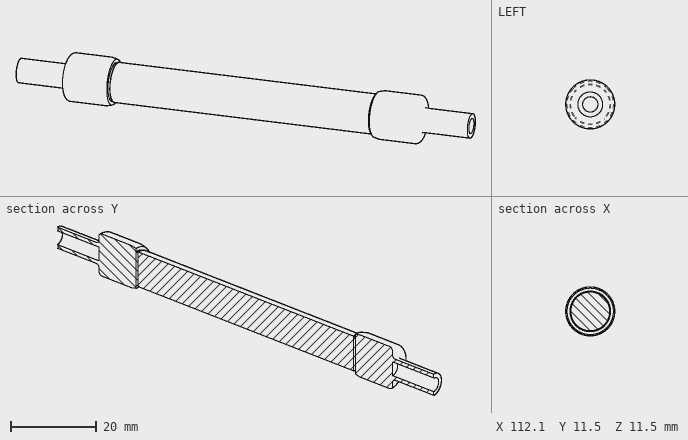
import cadquery as cq

total_length = 112.1

stem_diameter = 5.8
stem_length = 12.2
bore_diameter = 3.6
root_fillet = 0.7

cap_diameter = 11.5
cap_length = 11.2
nose_round = 1.1
taper_length = 1.3
taper_drop = 0.3

disc_diameter = 9.2
disc_thickness = 0.5

tube_diameter = 9.5

stem_end_x = -total_length / 2
cap_outer_x = stem_end_x + stem_length
cap_inner_x = cap_outer_x + cap_length
tube_end_x = cap_inner_x + disc_thickness


def make_cylinder(diameter, start_x, end_x):
    """Solid cylinder on the X axis from start_x to end_x."""
    return cq.Workplane("YZ", origin=(start_x, 0, 0)).circle(diameter / 2).extrude(end_x - start_x)


def make_end_cap():
    """Cap at the -X end, with its stem and the blind bore down the stem."""
    stem_radius = stem_diameter / 2
    cap_radius = cap_diameter / 2
    profile = (
        cq.Workplane("XZ")
        .moveTo(stem_end_x, 0)
        .lineTo(stem_end_x, stem_radius)
        .lineTo(cap_outer_x - root_fillet, stem_radius)
        .radiusArc((cap_outer_x, stem_radius + root_fillet), -root_fillet)
        .lineTo(cap_outer_x, cap_radius - nose_round)
        .radiusArc((cap_outer_x + nose_round, cap_radius), nose_round)
        .lineTo(cap_inner_x - taper_length, cap_radius)
        .lineTo(cap_inner_x, cap_radius - taper_drop)
        .lineTo(cap_inner_x, 0)
        .close()
    )
    turned = profile.revolve(360, (0, 0, 0), (1, 0, 0))
    bore = make_cylinder(bore_diameter, stem_end_x, cap_outer_x)
    return turned.cut(bore)


def make_disc():
    """Thin disc between the -X cap and the tube; its smaller diameter leaves a narrow groove."""
    return make_cylinder(disc_diameter, cap_inner_x, tube_end_x)


def make_tube():
    """Long central cylinder between the two discs."""
    return make_cylinder(tube_diameter, tube_end_x, -tube_end_x)


bodies = [make_tube().val()]

for make_end_body in (make_end_cap, make_disc):
    end_body = make_end_body()
    bodies.append(end_body.val())
    bodies.append(end_body.mirror("YZ").val())

result = cq.Compound.makeCompound(bodies)